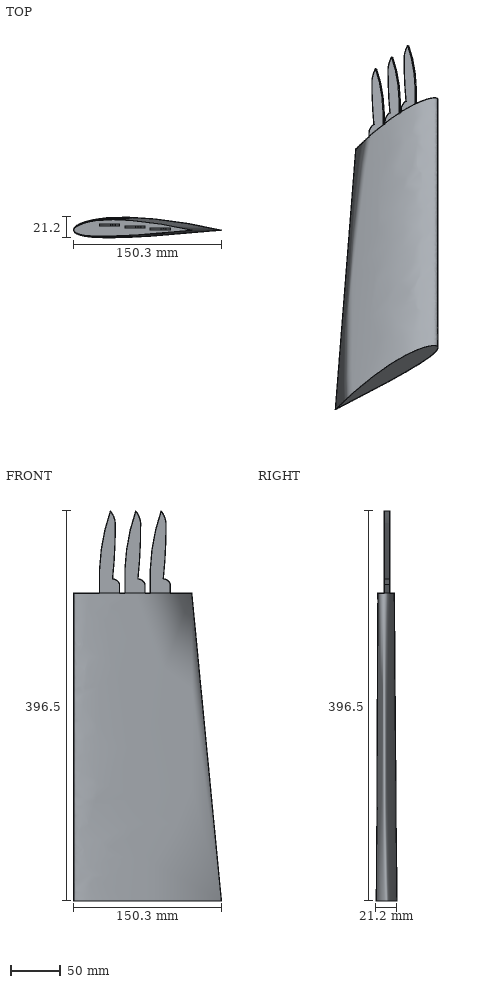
import cadquery as cq
import math

root_chord = 150.3
tip_chord = 120.0
wing_height = 313.0
camber = 0.02
camber_place = 0.4
thickness_ratio = 0.14
points_per_side = 24

overall_height = 396.5
blade_height = overall_height - wing_height
blade_width = 20.5
blade_thickness = 2.0
blade_count = 3
first_blade_x = 26.0
blade_pitch_x = 25.8
first_blade_y = 5.0
blade_pitch_y = -2.0

heel_height = 9.0
heel_bulge = (18.2, 12.5)
notch = (13.5, 14.5)
spine_middle = (16.0, 47.5)
spine_top = (16.3, 71.5)
point_bulge = (14.5, 77.7)
point_x = 11.0
edge_start_height = 23.8
edge_bulge = (3.5, 55.5)


def half_thickness(s):
    """NACA four-digit half thickness at chord fraction s, closed at the trailing edge."""
    shape = 0.2969 * math.sqrt(s) - 0.1260 * s - 0.3516 * s**2 + 0.2843 * s**3 - 0.1036 * s**4
    return 5 * thickness_ratio * shape


def camber_line(s):
    """Height and slope of the mean line at chord fraction s."""
    span = camber_place if s < camber_place else 1 - camber_place
    offset = s - camber_place
    height = camber * (1 - (offset / span) ** 2)
    slope = -2 * camber * offset / span**2
    return height, slope


def section_point(s, side, chord):
    """Point on the upper (side = 1) or lower (side = -1) surface."""
    height, slope = camber_line(s)
    angle = math.atan(slope)
    offset = side * half_thickness(s)
    return chord * (s - offset * math.sin(angle)), chord * (height + offset * math.cos(angle))


def wing_section(chord, z):
    fractions = [(1 - math.cos(math.pi * i / points_per_side)) / 2 for i in range(points_per_side + 1)]
    upper = [section_point(s, 1, chord) for s in reversed(fractions)]
    lower = [section_point(s, -1, chord) for s in fractions[1:]]
    points = [cq.Vector(x, y, z) for x, y in upper + lower[:-1]]
    points.append(points[0])
    return cq.Wire.assembleEdges([cq.Edge.makeSpline(points)])


def make_wing():
    sections = [wing_section(root_chord, 0), wing_section(tip_chord, wing_height)]
    return cq.Solid.makeLoft(sections, True)


def make_blade(x, y):
    back_face_y = y + blade_thickness / 2
    return (
        cq.Workplane("XZ", origin=(x, back_face_y, wing_height))
        .lineTo(blade_width, 0)
        .lineTo(blade_width, heel_height)
        .threePointArc(heel_bulge, notch)
        .threePointArc(spine_middle, spine_top)
        .threePointArc(point_bulge, (point_x, blade_height))
        .threePointArc(edge_bulge, (0, edge_start_height))
        .close()
        .extrude(blade_thickness)
    )


wing = make_wing()
blades = []
for i in range(blade_count):
    blade = make_blade(first_blade_x + i * blade_pitch_x, first_blade_y + i * blade_pitch_y)
    blades.append(blade.val())

result = cq.Compound.makeCompound([wing, *blades])